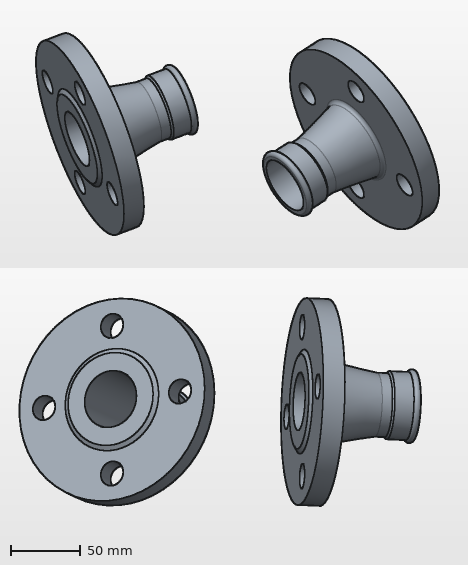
import cadquery as cq
import math

overall_length = 85.0
flange_radius = 75.0
flange_thickness = 16.0
bore_radius = 21.0

raised_face_height = 2.2
raised_face_base_radius = 37.8
raised_face_radius = 34.4

bolt_count = 4
bolt_circle_radius = 55.0
bolt_hole_diameter = 18.0

taper_foot_radius = 30.6
taper_length = 35.2
taper_sag = 0.4
foot_fillet_radius = 3.0

neck_radius = 23.3
neck_length = 7.7
collar_radius = 24.8
collar_chamfer = collar_radius - neck_radius
bead_outer_radius = 26.8
bead_section_radius = 2.7

flange_front = raised_face_height
flange_back = flange_front + flange_thickness
taper_start = flange_back + foot_fillet_radius
taper_end = taper_start + taper_length
neck_end = taper_end + neck_length
collar_start = neck_end + collar_chamfer

bead_centre_radius = bead_outer_radius - bead_section_radius
bead_centre_y = overall_length - bead_section_radius
bead_meet_y = bead_centre_y - math.sqrt(
    bead_section_radius**2 - (collar_radius - bead_centre_radius) ** 2
)

taper_mid_radius = (taper_foot_radius + neck_radius) / 2 - taper_sag
taper_mid_y = (taper_start + taper_end) / 2

foot_centre_radius = taper_foot_radius + foot_fillet_radius
foot_mid_offset = foot_fillet_radius * math.sin(math.radians(45))
foot_mid = (foot_centre_radius - foot_mid_offset, taper_start - foot_mid_offset)


def make_body():
    """Revolve the half section (radius, Y) around the Y axis."""
    section = (
        cq.Workplane("XY")
        .moveTo(bore_radius, 0)
        .lineTo(raised_face_radius, 0)
        .lineTo(raised_face_base_radius, flange_front)
        .lineTo(flange_radius, flange_front)
        .lineTo(flange_radius, flange_back)
        .lineTo(foot_centre_radius, flange_back)
        .threePointArc(foot_mid, (taper_foot_radius, taper_start))
        .threePointArc((taper_mid_radius, taper_mid_y), (neck_radius, taper_end))
        .lineTo(neck_radius, neck_end)
        .lineTo(collar_radius, collar_start)
        .lineTo(collar_radius, bead_meet_y)
        .threePointArc((bead_outer_radius, bead_centre_y), (bead_centre_radius, overall_length))
        .lineTo(bore_radius, overall_length)
        .close()
    )
    return section.revolve(360, (0, 0, 0), (0, 1, 0))


def make_bolt_holes():
    """Cylinders through the flange, equally spaced on the bolt circle."""
    return (
        cq.Workplane("XZ", origin=(0, flange_front, 0))
        .polarArray(bolt_circle_radius, 0, 360, bolt_count)
        .circle(bolt_hole_diameter / 2)
        .extrude(-flange_thickness)
    )


result = make_body().cut(make_bolt_holes())